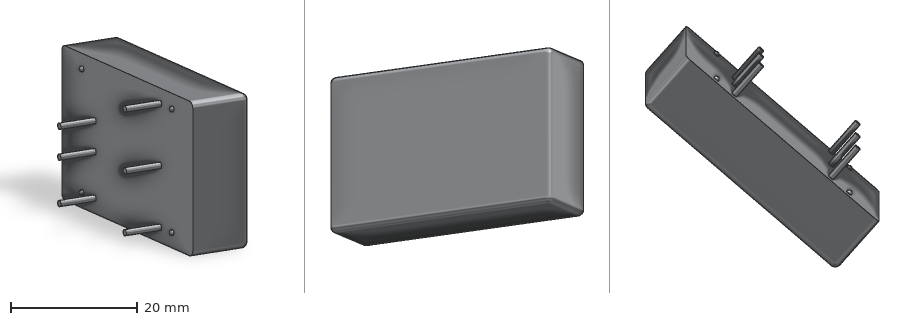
import cadquery as cq

length = 40.65
height = 25.4
case_depth = 10.4
edge_radius = 1.0

pitch = length / 16
pin_diameter = 1.0
pin_length = 6.5
pin_column = 4 * pitch
outer_row = 4 * pitch
pin_positions = [
    (-pin_column, pitch),
    (-pin_column, -pitch),
    (-pin_column, -outer_row),
    (pin_column, outer_row),
    (pin_column, 0),
    (pin_column, -outer_row),
]

standoff_radius = 0.5
standoff_column = 14.0


def make_case():
    """Box with rounded corners and a rounded back rim; the pin face is at y = 0."""
    box = cq.Workplane("XY").box(length, case_depth, height, centered=(True, False, True))
    return box.edges("|Y or >Y").fillet(edge_radius)


def make_pins():
    """Round pins rising from the pin face."""
    return cq.Workplane("XZ").pushPoints(pin_positions).circle(pin_diameter / 2).extrude(pin_length)


def make_standoffs():
    """Four balls half sunk into the pin face."""
    return (
        cq.Workplane("XZ")
        .rect(2 * standoff_column, 2 * outer_row, forConstruction=True)
        .vertices()
        .sphere(standoff_radius)
    )


result = make_case().union(make_pins()).union(make_standoffs())